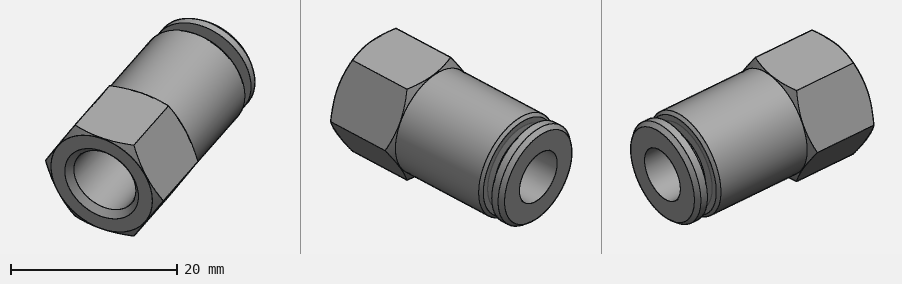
import cadquery as cq
import math

across_flats = 14.0
flat_half_angle = 30.0
across_corners = across_flats / math.cos(math.radians(flat_half_angle))
hex_length = 10.0
hex_face_diameter = 13.8
hex_chamfer_angle = 30.0

body_diameter = 13.9
body_end = 23.5
body_chamfer = 0.4
end_cone_diameter = 11.5
end_cone_height = 0.18

neck_diameter = 9.4
collar_diameter = 13.5
collar_length = 1.6
collar_chamfer_length = 0.6
collar_chamfer_width = 0.5
neck_chamfer = 0.18
overall_length = 26.6

mouth_diameter = 10.1
thread_diameter = 8.5
mouth_length = 0.8
thread_depth = 9.0
bore_diameter = 7.0
bore_cone_half_angle = 60.0
bore_cone_length = (thread_diameter - bore_diameter) / 2 / math.tan(math.radians(bore_cone_half_angle))


def revolve_profile(points):
    """Revolve (radius, y) points about the Y axis."""
    return cq.Workplane("XY").polyline(points).close().revolve(360, (0, 0, 0), (0, 1, 0))


def make_hexagon():
    """Hexagonal prism with corners on X, both ends chamfered by a cone."""
    prism = cq.Workplane("XZ").polygon(6, across_corners).extrude(-hex_length)
    face_radius = hex_face_diameter / 2
    corner_radius = across_corners / 2
    chamfer_length = (corner_radius - face_radius) * math.tan(math.radians(hex_chamfer_angle))
    envelope = revolve_profile([
        (0, 0),
        (face_radius, 0),
        (corner_radius, chamfer_length),
        (corner_radius, hex_length - chamfer_length),
        (face_radius, hex_length),
        (0, hex_length),
    ])
    return prism.intersect(envelope)


def make_barrel():
    """Body cylinder with a shallow coned end, neck and release collar as one turned profile."""
    body_radius = body_diameter / 2
    neck_radius = neck_diameter / 2
    collar_radius = collar_diameter / 2
    collar_start = overall_length - collar_length
    return revolve_profile([
        (0, 0),
        (body_radius, 0),
        (body_radius, body_end - body_chamfer),
        (body_radius - body_chamfer, body_end),
        (end_cone_diameter / 2, body_end),
        (neck_radius, body_end + end_cone_height),
        (neck_radius, collar_start - neck_chamfer),
        (neck_radius + neck_chamfer, collar_start),
        (collar_radius, collar_start),
        (collar_radius, overall_length - collar_chamfer_length),
        (collar_radius - collar_chamfer_width, overall_length),
        (0, overall_length),
    ])


def make_bore():
    """Countersunk thread bore narrowing through a cone to the through bore."""
    return revolve_profile([
        (0, 0),
        (mouth_diameter / 2, 0),
        (thread_diameter / 2, mouth_length),
        (thread_diameter / 2, thread_depth),
        (bore_diameter / 2, thread_depth + bore_cone_length),
        (bore_diameter / 2, overall_length),
        (0, overall_length),
    ])


result = make_hexagon().union(make_barrel()).cut(make_bore())